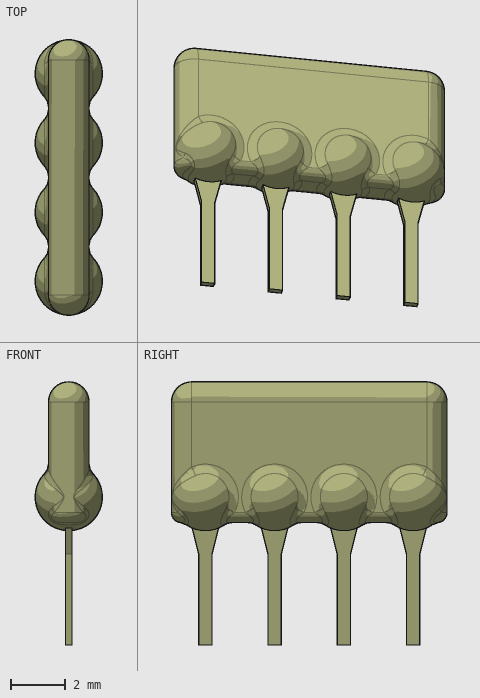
import cadquery as cq
import math

body_length = 10.11
total_height = 9.65
body_thickness = 1.5
body_bottom = 4.49
bottom_edge_radius = 0.37

lead_count = 4
lead_pitch = 2.54
ball_diameter = 2.48
ball_height = 5.43
blend_radius = 0.5

lead_width = 0.5
lead_thickness = 0.25
taper_start = 3.34
root_width = 1.07

half_thickness = body_thickness / 2
ball_radius = ball_diameter / 2
cap_place = body_length / 2 - half_thickness
crown_height = total_height - half_thickness
lower_edge_top = body_bottom + bottom_edge_radius
lead_places = [(i - (lead_count - 1) / 2) * lead_pitch for i in range(lead_count)]


def half_profile():
    """Right half of the body section: rounded lower edge, flat side, round crown."""
    flat = half_thickness - bottom_edge_radius
    return (
        cq.Workplane("XZ")
        .moveTo(0, body_bottom)
        .lineTo(flat, body_bottom)
        .radiusArc((half_thickness, lower_edge_top), -bottom_edge_radius)
        .lineTo(half_thickness, crown_height)
        .radiusArc((0, total_height), -half_thickness)
    )


def make_bar():
    """Straight stretch of the body between the two round ends."""
    return half_profile().mirrorY().extrude(cap_place, both=True)


def make_cap():
    """Round end of the body, the section turned half a turn about Z."""
    return half_profile().close().revolve(180, (0, 0, 0), (0, 1, 0))


def make_ball(place):
    """Ball turned so that its seam and poles lie inside the body."""
    return (
        cq.Workplane("XY")
        .sphere(ball_radius)
        .rotate((0, 0, 0), (1, 0, 0), 90)
        .rotate((0, 0, 0), (0, 1, 0), -90)
        .translate((0, place, ball_height))
    )


def lies_on_ball(edge, place):
    """True when sample points along the edge all lie on the ball's surface."""
    centre = cq.Vector(0, place, ball_height)
    tolerance = 0.0001
    samples = [edge.positionAt(t) for t in (0, 0.3, 0.5, 0.7, 1)]
    return all(abs((point - centre).Length - ball_radius) < tolerance for point in samples)


def add_ball(body, place):
    """Join a ball to the body and fillet the line where they meet."""
    joined = body.union(make_ball(place))
    seams = [edge for edge in joined.edges().vals() if lies_on_ball(edge, place)]
    return joined.newObject(seams).fillet(blend_radius)


def make_lead(place):
    """Flat lead whose tapered root reaches into the ball."""
    half_width = lead_width / 2
    half_root = root_width / 2
    outline = [
        (place - half_width, 0),
        (place + half_width, 0),
        (place + half_width, taper_start),
        (place + half_root, body_bottom),
        (place + half_root, ball_height),
        (place - half_root, ball_height),
        (place - half_root, body_bottom),
        (place - half_width, taper_start),
    ]
    return cq.Workplane("YZ").polyline(outline).close().extrude(lead_thickness / 2, both=True)


result = make_bar()
for place in lead_places[1:-1]:
    result = add_ball(result, place)

cap = make_cap()
result = result.union(cap.translate((0, cap_place, 0)))
result = result.union(cap.rotate((0, 0, 0), (0, 0, 1), 180).translate((0, -cap_place, 0)))

for place in (lead_places[0], lead_places[-1]):
    result = add_ball(result, place)

for place in lead_places:
    result = result.union(make_lead(place))